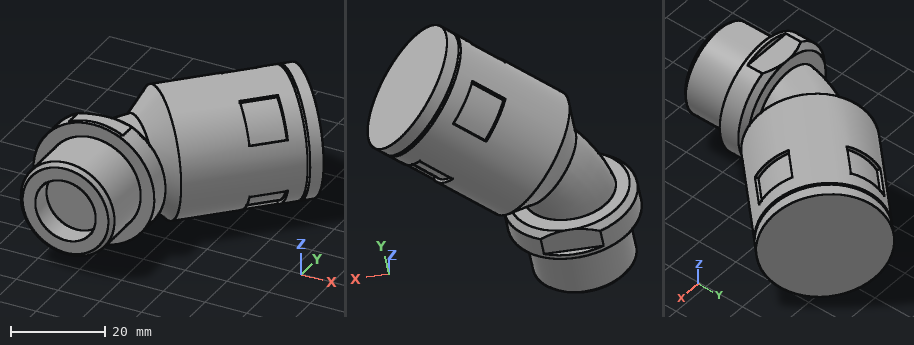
import cadquery as cq
import math

overall_length = 64.05

spigot_diameter = 22.5
spigot_length = 12.95
spigot_chamfer = 0.95
bore_diameter = 14.5
bore_depth = 5.1

collar_diameter = 29.0
collar_thickness = 6.6
collar_chamfer = 1.5
flat_half_spacing = 13.0
flat_start = 1.0

tube_diameter = 19.1
bend_radius = 25.8
bend_angle = 45.0
tube_offset = -1.15

socket_diameter = 29.5
cone_length = 6.4
groove_diameter = 23.4
groove_width = 0.6
rim_thickness = 3.0

window_length = 8.5
window_end_distance = 7.55
window_depth = 0.85
window_half_angle = 20.0
window_count = 4

socket_radius = socket_diameter / 2
collar_top = spigot_length + collar_thickness

bend_center_x = tube_offset + bend_radius
bend_rad = math.radians(bend_angle)
socket_base = (
    bend_center_x - bend_radius * math.cos(bend_rad),
    spigot_length + bend_radius * math.sin(bend_rad),
    0,
)
socket_direction = (math.sin(bend_rad), math.cos(bend_rad), 0)
socket_length = (overall_length - socket_base[1]) / math.cos(bend_rad) - socket_radius * math.tan(bend_rad)
socket_plane = cq.Plane(origin=socket_base, xDir=(0, 0, 1), normal=socket_direction)


def cross_section(y, x=0):
    """Workplane across the spigot axis, facing +Y."""
    return cq.Workplane(cq.Plane(origin=(x, y, 0), xDir=(0, 0, 1), normal=(0, 1, 0)))


def make_spigot():
    spigot = cross_section(0).circle(spigot_diameter / 2).extrude(spigot_length)
    return spigot.faces("<Y").chamfer(spigot_chamfer)


def make_collar():
    collar = cross_section(spigot_length).circle(collar_diameter / 2).extrude(collar_thickness)
    collar = collar.faces(">Y").chamfer(collar_chamfer)
    flat_height = collar_thickness - flat_start
    cut_depth = collar_diameter / 2
    for side in (-1, 1):
        cutter = cq.Workplane("XY").box(collar_diameter, flat_height, cut_depth)
        cutter_center = (0, collar_top - flat_height / 2, side * (flat_half_spacing + cut_depth / 2))
        collar = collar.cut(cutter.translate(cutter_center))
    return collar


def make_tube():
    return (
        cross_section(spigot_length, tube_offset)
        .circle(tube_diameter / 2)
        .revolve(bend_angle, (0, bend_radius, 0), (-1, bend_radius, 0))
    )


def make_socket():
    """Revolved outline: 45 degree cone, barrel, deep groove and end rim."""
    groove_radius = groove_diameter / 2
    rim_start = socket_length - rim_thickness
    groove_start = rim_start - groove_width
    profile = [
        (0, -cone_length),
        (socket_radius - cone_length, -cone_length),
        (socket_radius, 0),
        (socket_radius, groove_start),
        (groove_radius, groove_start),
        (groove_radius, rim_start),
        (socket_radius, rim_start),
        (socket_radius, socket_length),
        (0, socket_length),
    ]
    across_socket = (-socket_direction[1], socket_direction[0], 0)
    profile_plane = cq.Plane(origin=socket_base, xDir=(0, 0, 1), normal=across_socket)
    return cq.Workplane(profile_plane).polyline(profile).close().revolve(360, (0, 0, 0), (0, 1, 0))


def make_windows():
    """Ring sectors with radial sides, centred between the socket's main axes."""
    floor_radius = socket_radius - window_depth
    outer_radius = socket_radius + window_depth
    window_start = socket_length - window_end_distance - window_length
    spacing = 360 / window_count

    def point(radius, angle):
        angle_rad = math.radians(angle)
        return (radius * math.cos(angle_rad), radius * math.sin(angle_rad))

    cutters = cq.Workplane(socket_plane)
    for index in range(window_count):
        middle = (index + 0.5) * spacing
        first = middle - window_half_angle
        last = middle + window_half_angle
        sector = (
            cq.Workplane(socket_plane)
            .workplane(offset=window_start)
            .moveTo(*point(floor_radius, first))
            .lineTo(*point(outer_radius, first))
            .threePointArc(point(outer_radius, middle), point(outer_radius, last))
            .lineTo(*point(floor_radius, last))
            .threePointArc(point(floor_radius, middle), point(floor_radius, first))
            .close()
            .extrude(window_length)
        )
        cutters = cutters.add(sector)
    return cutters.combine()


def make_bore():
    return cross_section(0).circle(bore_diameter / 2).extrude(bore_depth)


socket = make_socket().cut(make_windows())
body = make_spigot().union(make_collar()).union(make_tube()).union(socket)
result = body.cut(make_bore())